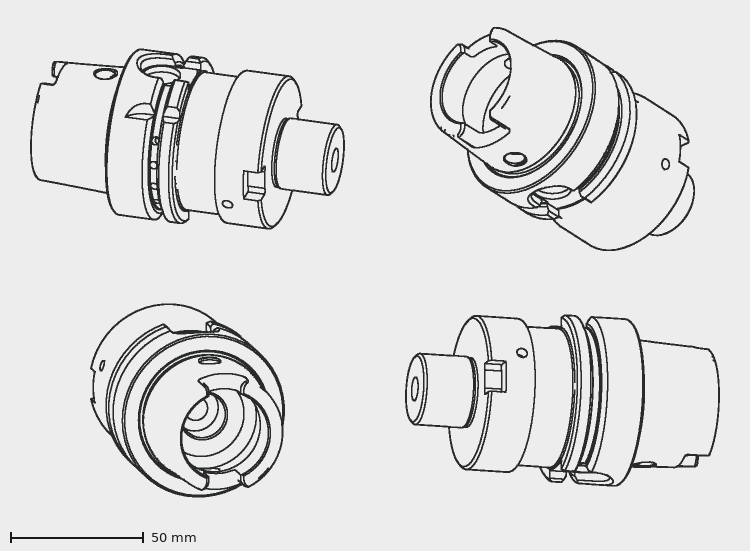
import cadquery as cq
import math


taper_end_x = 30.0
neck_taper_x = 30.8
flange_x = 32.0
groove_left_x = 48.0
groove_right_x = 51.4
flange_end_x = 58.0
body_end_x = 73.9
nut_end_x = 92.0
length = 113.0

taper_tip_radius = 22.6
taper_base_radius = 24.2
neck_radius = 23.8
neck_root_radius = 23.6
flange_radius = 31.5
groove_radius = 27.2
body_radius = 26.2
nut_radius = 29.0
spindle_radius = 13.5

tip_round = 1.0
flange_front_chamfer = 0.7
flange_end_chamfer = 1.1
nut_round = 1.0
nut_end_chamfer = 1.0
spindle_chamfer = 1.0
shoulder_fillet = 0.6
round_mid = 1 - math.sqrt(0.5)

face_relief_radius = 25.4
face_relief_depth = 0.6

groove_wall_radius = 28.8
groove_floor_chamfer = 0.3
groove_lip_angle = 30
groove_lip_run = (flange_radius - groove_wall_radius) * math.tan(math.radians(groove_lip_angle))

spindle_relief_length = 1.0
spindle_relief_depth = 0.3
spindle_relief_taper = 0.8

bore_radius = 17.0
bore_chamfer = 0.6
bore_lip_depth = 12.7
recess_radius = 19.2
recess_end_x = 27.1
bore_floor_radius = 15.7
bore_depth = flange_x
counterbore_radius = 8.6
counterbore_chamfer = 0.7
counterbore_depth = 11.3
through_radius = 4.46

drive_half_width = 6.2
drive_mouth_half_width = 9.3
drive_mouth_z = 20.7
drive_lip_radius = 3.3
drive_depth_top = 5.8
drive_depth_bottom = 9.8
drive_corner_fillet = 1.2
drive_front_chamfer = 1.0

cross_hole_x = 22.9
cross_hole_radius = 3.79
cross_hole_chamfer = 0.4

keyway_x = 45.0
keyway_half_width = 7.9
keyway_floor_z = 26.2
keyway_chamfer = 1.4
keyway_runout = 1.1
keyway_pocket_radius = 7.1
keyway_pocket_depth = 2.5

notch_cutter_radius = 7.8
notch_wall_y = -20.0
notch_floor_z = 19.9

groove_hole_angles = [25, 5, -15, -35]
groove_hole_radius = 1.5
groove_hole_depth = 5.6

spanner_hole_x = 78.8
spanner_hole_radius = 1.98
spanner_hole_depth = 4.5
spanner_hole_angles = [-20, 160]
hook_start_x = 85.4
hook_half_width = 6.0
hook_floor_half_width = 3.5
hook_depth = 6.4
hook_relief_depth = 0.6


def revolve(profile):
    """Turn a closed X-radius profile about the X axis."""
    return profile.close().revolve(360, (0, 0, 0), (1, 0, 0))


def mirrored_in_z(cutter):
    return cutter.union(cutter.mirror("XY"))


def radial_hole(x, angle, radius, hole_depth, surface_radius):
    """Blind hole pointing at the axis, its angle measured from -Y toward +Z."""
    outward = cq.Vector(0, -math.cos(math.radians(angle)), math.sin(math.radians(angle)))
    start = cq.Vector(x, 0, 0) + outward * (surface_radius - hole_depth)
    return cq.Workplane(cq.Solid.makeCylinder(radius, 2 * hole_depth, start, outward))


def round_ended_slot(center_y, floor_z, radius):
    """Upright cutter along X with a round front end, running out through the end of the flange."""
    run_length = flange_end_x - keyway_x
    return (
        cq.Workplane("XY", origin=(keyway_x, center_y, floor_z))
        .moveTo(run_length, -radius)
        .lineTo(0, -radius)
        .threePointArc((-radius, 0), (0, radius))
        .lineTo(run_length, radius)
        .close()
        .extrude(flange_radius)
    )


def make_shank():
    """Taper with a rounded tip, and the neck behind it."""
    return revolve(
        cq.Workplane("XY")
        .lineTo(0, taper_tip_radius - tip_round)
        .threePointArc(
            (tip_round * round_mid, taper_tip_radius - tip_round * round_mid),
            (tip_round, taper_tip_radius),
        )
        .lineTo(taper_end_x, taper_base_radius)
        .lineTo(taper_end_x + taper_base_radius - neck_radius, neck_radius)
        .lineTo(neck_taper_x, neck_radius)
        .lineTo(flange_x + face_relief_depth, neck_root_radius)
        .lineTo(flange_x + face_relief_depth, 0)
    )


def make_flange():
    """Flange with its keyways, chamfered along their top edges, before the groove is turned."""
    flange = (
        cq.Workplane("YZ", origin=(flange_x, 0, 0)).circle(flange_radius).extrude(flange_end_x - flange_x)
    )
    flange = flange.faces("<X").chamfer(flange_front_chamfer)
    keyway = round_ended_slot(0, keyway_floor_z, keyway_half_width)
    flange = flange.cut(mirrored_in_z(keyway))
    selection_margin = 1.1
    for side in (1, -1):
        rim_edges = cq.selectors.BoxSelector(
            (flange_x, -keyway_half_width - selection_margin, side * (keyway_floor_z + selection_margin)),
            (flange_end_x - selection_margin, keyway_half_width + selection_margin, side * length),
        )
        flange = flange.edges(rim_edges).chamfer(keyway_chamfer)
    return flange


def make_keyway_runout():
    """Conical break where each keyway floor meets the end of the flange."""
    cone = revolve(
        cq.Workplane("XY")
        .moveTo(flange_end_x - keyway_runout, body_radius + keyway_runout)
        .lineTo(flange_end_x, body_radius)
        .lineTo(flange_end_x, body_radius + keyway_runout)
    )
    width = 2 * keyway_half_width
    return cone.intersect(cq.Workplane("XY").box(2 * length, width, 2 * flange_radius))


def make_face_relief():
    """Ring cut into the flange contact face around the neck."""
    bottom_radius = face_relief_radius - face_relief_depth
    return revolve(
        cq.Workplane("XY")
        .moveTo(flange_x, neck_root_radius)
        .lineTo(flange_x, face_relief_radius)
        .lineTo(flange_x + face_relief_depth, bottom_radius)
        .lineTo(flange_x + face_relief_depth, neck_root_radius)
    )


def make_gripper_groove():
    return revolve(
        cq.Workplane("XY")
        .moveTo(groove_left_x + groove_floor_chamfer, groove_radius)
        .lineTo(groove_left_x, groove_radius + groove_floor_chamfer)
        .lineTo(groove_left_x, groove_wall_radius)
        .lineTo(groove_left_x - groove_lip_run, flange_radius)
        .lineTo(groove_left_x - groove_lip_run, flange_radius + 1.1)
        .lineTo(groove_right_x + groove_lip_run, flange_radius + 1.1)
        .lineTo(groove_right_x + groove_lip_run, flange_radius)
        .lineTo(groove_right_x, groove_wall_radius)
        .lineTo(groove_right_x, groove_radius + groove_floor_chamfer)
        .lineTo(groove_right_x - groove_floor_chamfer, groove_radius)
    )


def make_flange_end_chamfer():
    return revolve(
        cq.Workplane("XY")
        .moveTo(flange_end_x - flange_end_chamfer, flange_radius)
        .lineTo(flange_end_x, flange_radius - flange_end_chamfer)
        .lineTo(flange_end_x, flange_radius)
    )


def make_notch():
    """Side notch with a flat floor and a rounded front end, open toward the end of the flange."""
    center_y = notch_wall_y - notch_cutter_radius
    return round_ended_slot(center_y, notch_floor_z, notch_cutter_radius)


def make_front_body():
    """Body, clamping nut and spindle behind the flange."""
    shoulder_x = body_end_x - shoulder_fillet
    relief_radius = spindle_radius - spindle_relief_depth
    relief_end_x = nut_end_x + spindle_relief_length
    return revolve(
        cq.Workplane("XY")
        .moveTo(flange_x + face_relief_depth, 0)
        .lineTo(flange_x + face_relief_depth, body_radius)
        .lineTo(flange_end_x, body_radius)
        .lineTo(flange_end_x, body_radius + shoulder_fillet)
        .threePointArc(
            (flange_end_x + shoulder_fillet * round_mid, body_radius + shoulder_fillet * round_mid),
            (flange_end_x + shoulder_fillet, body_radius),
        )
        .lineTo(shoulder_x, body_radius)
        .threePointArc(
            (body_end_x - shoulder_fillet * round_mid, body_radius + shoulder_fillet * round_mid),
            (body_end_x, body_radius + shoulder_fillet),
        )
        .lineTo(body_end_x, nut_radius - nut_round)
        .threePointArc(
            (body_end_x + nut_round * round_mid, nut_radius - nut_round * round_mid),
            (body_end_x + nut_round, nut_radius),
        )
        .lineTo(nut_end_x - nut_end_chamfer, nut_radius)
        .lineTo(nut_end_x, nut_radius - nut_end_chamfer)
        .lineTo(nut_end_x, relief_radius)
        .lineTo(relief_end_x, relief_radius)
        .lineTo(relief_end_x + spindle_relief_taper, spindle_radius)
        .lineTo(length - spindle_chamfer, spindle_radius)
        .lineTo(length, spindle_radius - spindle_chamfer)
        .lineTo(length, 0)
    )


def make_bore():
    counterbore_x = bore_depth + counterbore_depth
    return revolve(
        cq.Workplane("XY")
        .lineTo(0, bore_radius + bore_chamfer)
        .lineTo(bore_chamfer, bore_radius)
        .lineTo(bore_lip_depth, bore_radius)
        .lineTo(bore_lip_depth, recess_radius)
        .lineTo(recess_end_x, recess_radius)
        .lineTo(bore_depth, bore_floor_radius)
        .lineTo(bore_depth, counterbore_radius + counterbore_chamfer)
        .lineTo(bore_depth + counterbore_chamfer, counterbore_radius)
        .lineTo(counterbore_x, counterbore_radius)
        .lineTo(counterbore_x, through_radius)
        .lineTo(length, through_radius)
        .lineTo(length, 0)
    )


def make_drive_slot(depth):
    """Slot across the upper wall of the taper tip, flaring outward at its mouth."""
    lip_rise = drive_mouth_half_width - drive_half_width
    lip_drop = math.sqrt(drive_lip_radius**2 - (drive_lip_radius - lip_rise) ** 2)
    lip_z = drive_mouth_z - lip_drop
    half_angle = math.atan2(lip_drop, drive_lip_radius - lip_rise) / 2
    lip_mid_y = drive_half_width + drive_lip_radius * (1 - math.cos(half_angle))
    lip_mid_z = lip_z + drive_lip_radius * math.sin(half_angle)

    def outline(workplane, widening):
        wall_y = drive_half_width + widening
        middle_y = lip_mid_y + widening
        mouth_y = drive_mouth_half_width + widening
        return (
            workplane.moveTo(-wall_y, 0)
            .lineTo(-wall_y, lip_z)
            .threePointArc((-middle_y, lip_mid_z), (-mouth_y, drive_mouth_z))
            .lineTo(-mouth_y, flange_radius)
            .lineTo(mouth_y, flange_radius)
            .lineTo(mouth_y, drive_mouth_z)
            .threePointArc((middle_y, lip_mid_z), (wall_y, lip_z))
            .lineTo(wall_y, 0)
            .close()
        )

    slot = outline(cq.Workplane("YZ"), 0).extrude(depth)
    slot = slot.faces(">X").edges("not |Y").fillet(drive_corner_fillet)
    front = outline(cq.Workplane("YZ"), drive_front_chamfer).workplane(offset=drive_front_chamfer)
    return slot.union(outline(front, 0).loft(ruled=True))


def make_cross_hole():
    rim_radius = cross_hole_radius + cross_hole_chamfer
    surface_z = taper_tip_radius + (taper_base_radius - taper_tip_radius) * cross_hole_x / taper_end_x
    hole = cq.Workplane("XY").center(cross_hole_x, 0).circle(cross_hole_radius).extrude(flange_radius)
    countersink = cq.Workplane(
        cq.Solid.makeCone(
            cross_hole_radius,
            rim_radius + cross_hole_chamfer,
            2 * cross_hole_chamfer,
            cq.Vector(cross_hole_x, 0, surface_z - 2 * cross_hole_chamfer),
            cq.Vector(0, 0, 1),
        )
    )
    return mirrored_in_z(hole.union(countersink))


def make_keyway_pockets():
    pocket = (
        cq.Workplane("XY", origin=(keyway_x, 0, keyway_floor_z - keyway_pocket_depth))
        .circle(keyway_pocket_radius)
        .extrude(2 * keyway_pocket_depth)
    )
    return mirrored_in_z(pocket)


def make_hook_slots():
    """Two opposite slots in the nut rim, with hollowed floor corners."""
    floor_y = -(nut_radius - hook_depth)
    relief_mid_z = (hook_half_width + hook_floor_half_width) / 2
    slot = (
        cq.Workplane("YZ", origin=(hook_start_x, 0, 0))
        .moveTo(-flange_radius, -hook_half_width)
        .lineTo(floor_y, -hook_half_width)
        .threePointArc((floor_y + hook_relief_depth, -relief_mid_z), (floor_y, -hook_floor_half_width))
        .lineTo(floor_y, hook_floor_half_width)
        .threePointArc((floor_y + hook_relief_depth, relief_mid_z), (floor_y, hook_half_width))
        .lineTo(-flange_radius, hook_half_width)
        .close()
        .extrude(nut_end_x - hook_start_x)
    )
    return slot.union(slot.mirror("XZ"))


flange = make_flange()
flange = flange.cut(make_keyway_runout())
flange = flange.cut(make_gripper_groove())
flange = flange.cut(make_flange_end_chamfer())
flange = flange.cut(make_face_relief())
flange = flange.cut(make_notch())

result = flange.union(make_front_body()).union(make_shank())
result = result.cut(make_keyway_pockets())
result = result.cut(make_bore())
result = result.cut(make_cross_hole())
result = result.cut(make_drive_slot(drive_depth_top))
result = result.cut(make_drive_slot(drive_depth_bottom).mirror("XY"))
result = result.cut(make_hook_slots())

groove_hole_x = (groove_left_x + groove_right_x) / 2
for angle in groove_hole_angles:
    hole = radial_hole(groove_hole_x, angle, groove_hole_radius, groove_hole_depth, groove_radius)
    result = result.cut(hole)
for angle in spanner_hole_angles:
    hole = radial_hole(spanner_hole_x, angle, spanner_hole_radius, spanner_hole_depth, nut_radius)
    result = result.cut(hole)